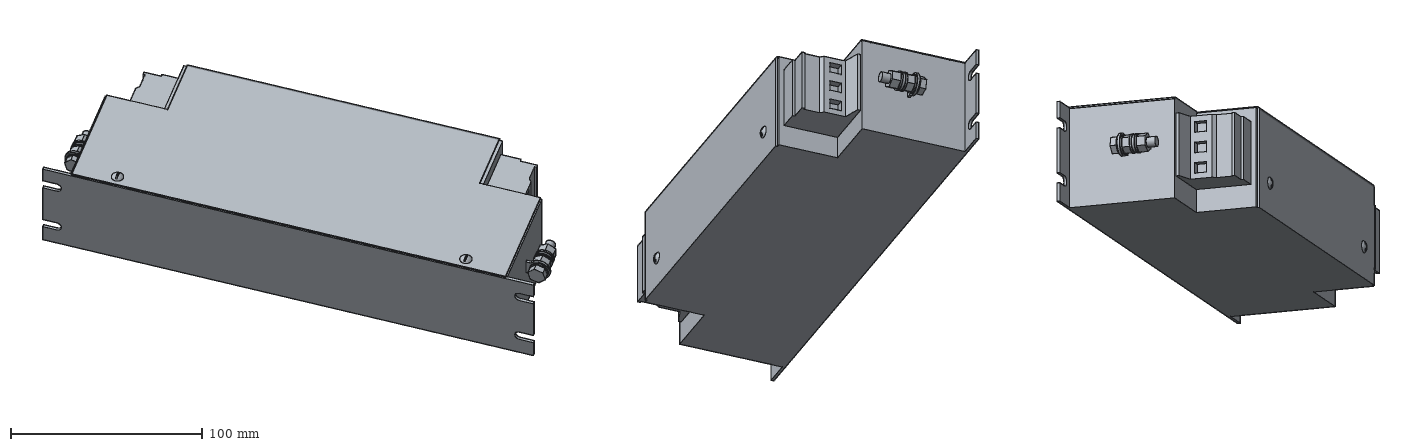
import cadquery as cq
import math

plate_length = 270.0
plate_height = 54.0
plate_thickness = 1.5
slot_width = 5.5
slot_depth = 10.3
slot_heights = (12.7, 42.5)

sheet = 1.0
overall_height = 54.8
overall_depth = 94.8
front_half_width = 120.2
rear_half_width = 87.8
shoulder_y = 60.2
box_height = overall_height - sheet
box_depth = overall_depth - sheet
cover_front_y = 0.8
cover_front_inset = 0.8
cover_rear_inset = 2.0
cover_bend_radius = 1.5

screw_diameter = 6.5
screw_head_height = 1.5
screw_embed = 0.5
screw_slot_width = 0.8
screw_slot_depth = 0.8
top_screw_x = 95.8
top_screw_y = 6.2
rear_screw_x = 70.2
rear_screw_z = 17.0

terminal_mid_z = 29.5
terminal_height = 34.0
terminal_face_x = 108.8
terminal_inner_x = rear_half_width - sheet
terminal_start_y = shoulder_y - sheet
terminal_foot_x = 118.0
terminal_foot_y = 61.8
terminal_face_start_y = 64.8
terminal_face_end_y = 77.0
terminal_upper_x = 107.2
terminal_upper_start_y = 78.8
terminal_lip_x = 108.3
terminal_lip_start_y = 87.8
terminal_lip_end_y = 89.5
terminal_back_x = 98.8
terminal_back_y = 90.7
opening_width = 6.5
opening_height = 5.7
opening_pitch = 11.0
opening_depth = 4.0
opening_y = 70.5

stud_x = 127.5
stud_z = terminal_mid_z
stud_diameter = 5.5
stud_end_y = 53.0
hex_flats = 8.6
hex_corners = hex_flats / math.cos(math.radians(30))
head_start_y = 28.5
head_turn = -15.0
small_washer_diameter = 10.3
large_washer_diameter = 12.2
spacer_diameter = 9.2
thin_washer = 1.0
tab_washer = 0.8
tab_width = 8.0
tab_thickness = 1.4
tab_start_y = 33.0
tab_end_y = tab_start_y + tab_thickness
washers_start_y = tab_start_y - tab_washer
washers_end_y = tab_end_y + tab_washer
inner_nut_end_y = 39.5
outer_nut_start_y = 43.2
outer_nut_end_y = 48.0


def box_between(low, high):
    """Axis-aligned box between two opposite corners."""
    size = [b - a for a, b in zip(low, high)]
    return cq.Workplane("XY").box(*size, centered=False).translate(low)


def on_both_ends(left_part):
    """The part at the -X end together with its mirror image at the +X end."""
    return left_part.union(left_part.mirror("YZ"))


def mounting_plate():
    plate = box_between(
        (-plate_length / 2, 0, 0),
        (plate_length / 2, plate_thickness, plate_height),
    )
    slot_ends = [(side * plate_length / 2, z) for side in (-1, 1) for z in slot_heights]
    slots = (
        cq.Workplane("XZ")
        .pushPoints(slot_ends)
        .slot2D(2 * slot_depth, slot_width)
        .extrude(-plate_thickness)
    )
    return plate.cut(slots)


def stepped_block(front_half, rear_half, start_y, end_y, bottom_z, top_z):
    """T-shaped block that narrows at the shoulder."""
    front = box_between((-front_half, start_y, bottom_z), (front_half, shoulder_y, top_z))
    rear = box_between((-rear_half, start_y, bottom_z), (rear_half, end_y, top_z))
    return front.union(rear)


def housing():
    return stepped_block(front_half_width, rear_half_width, cover_front_y, box_depth, 0, box_height)


def cover():
    """Top sheet that bends down over the back of the box."""
    front_half = front_half_width - cover_front_inset
    rear_half = rear_half_width - cover_rear_inset
    top = stepped_block(
        front_half, rear_half, cover_front_y, overall_depth, box_height, overall_height
    )
    back = box_between((-rear_half, box_depth, 0), (rear_half, overall_depth, overall_height))
    backing = box_between(
        (-rear_half, overall_depth - 2 * sheet, box_height - sheet),
        (rear_half, overall_depth, overall_height),
    )
    return top.union(back).union(backing).edges("|X and >Y and >Z").fillet(cover_bend_radius)


def screw_head():
    """Domed head rising from Z = 0, with its slot along Y.

    The slot cutter stands clear of the dome so that no sliver is left at its peak.
    """
    radius = screw_diameter / 2
    dome_radius = (radius**2 + screw_head_height**2) / (2 * screw_head_height)
    head = (
        cq.Workplane("XZ")
        .moveTo(0, -screw_embed)
        .lineTo(radius, -screw_embed)
        .lineTo(radius, 0)
        .radiusArc((0, screw_head_height), -dome_radius)
        .close()
        .revolve(360, (0, 0, 0), (0, 1, 0))
    )
    slot = box_between(
        (-screw_slot_width / 2, -radius, screw_head_height - screw_slot_depth),
        (screw_slot_width / 2, radius, 2 * screw_head_height),
    )
    return head.cut(slot)


def cover_screws():
    top = screw_head().translate((-top_screw_x, top_screw_y, overall_height))
    rear = (
        screw_head()
        .rotate((0, 0, 0), (1, 0, 0), -90)
        .translate((-rear_screw_x, overall_depth, rear_screw_z))
    )
    return on_both_ends(top.union(rear))


def terminal_block():
    bottom_z = terminal_mid_z - terminal_height / 2
    outline = [
        (-terminal_inner_x, terminal_start_y),
        (-terminal_foot_x, terminal_start_y),
        (-terminal_foot_x, terminal_foot_y),
        (-terminal_face_x, terminal_face_start_y),
        (-terminal_face_x, terminal_face_end_y),
        (-terminal_upper_x, terminal_upper_start_y),
        (-terminal_upper_x, terminal_lip_start_y),
        (-terminal_lip_x, terminal_lip_start_y),
        (-terminal_lip_x, terminal_lip_end_y),
        (-terminal_back_x, terminal_lip_end_y),
        (-terminal_back_x, terminal_back_y),
        (-terminal_inner_x, terminal_back_y),
    ]
    block = cq.Workplane("XY", origin=(0, 0, bottom_z)).polyline(outline).close()
    block = block.extrude(terminal_height)
    openings = (
        cq.Workplane("YZ", origin=(-terminal_face_x, opening_y, terminal_mid_z))
        .rarray(2.7, opening_pitch, 1, 3)
        .rect(opening_width, opening_height)
        .extrude(opening_depth)
    )
    return block.cut(openings)


def stud_plane(y):
    """Workplane across an axis through the origin, with its normal along +Y."""
    return cq.Workplane("ZX", origin=(0, y, 0))


def hexagon(start_y, end_y):
    """Hexagonal prism with two corners on the vertical centre line."""
    return stud_plane(start_y).polygon(6, hex_corners).extrude(end_y - start_y)


def disc(start_y, end_y, diameter):
    return stud_plane(start_y).circle(diameter / 2).extrude(end_y - start_y)


def stud_fasteners():
    """Stud with its head, washers and nuts along the Y axis, from front to rear."""
    head = hexagon(head_start_y, washers_start_y).rotate((0, 0, 0), (0, 1, 0), head_turn)
    return (
        disc(head_start_y, stud_end_y, stud_diameter)
        .union(head)
        .union(disc(washers_start_y, washers_end_y, small_washer_diameter))
        .union(disc(tab_start_y, tab_end_y, large_washer_diameter))
        .union(hexagon(washers_end_y, inner_nut_end_y))
        .union(disc(inner_nut_end_y, outer_nut_start_y, spacer_diameter))
        .union(disc(inner_nut_end_y, inner_nut_end_y + thin_washer, small_washer_diameter))
        .union(disc(outer_nut_start_y - thin_washer, outer_nut_start_y, small_washer_diameter))
        .union(hexagon(outer_nut_start_y, outer_nut_end_y))
    )


def earth_studs():
    fasteners = stud_fasteners()
    left = fasteners.translate((-stud_x, 0, stud_z))
    right = fasteners.translate((stud_x, 0, stud_z))
    tab = box_between(
        (-stud_x, tab_start_y, stud_z - tab_width / 2),
        (-front_half_width + sheet, tab_end_y, stud_z + tab_width / 2),
    )
    return on_both_ends(tab).union(left).union(right)


result = (
    mounting_plate()
    .union(housing())
    .union(cover())
    .union(cover_screws())
    .union(on_both_ends(terminal_block()))
    .union(earth_studs())
)